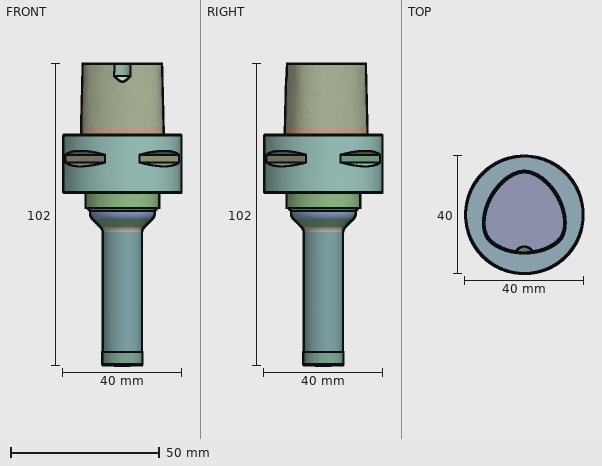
import cadquery as cq
import math

TOTAL_HEIGHT = 102.0
TAPER_BASE_Z = 80.6
FLANGE_TOP_Z = 78.0
FLANGE_BOTTOM_Z = 58.3
COLLAR_BOTTOM_Z = 53.2
NECK_TOP_Z = 52.3
NECK_BAND_HEIGHT = 0.5
SHANK_TOP_Z = 45.1
TIP_TOP_Z = 4.8

FLANGE_RADIUS = 40.0 / 2
COLLAR_RADIUS = 25.0 / 2
NECK_RADIUS = 22.0 / 2
SHANK_RADIUS = 13.4 / 2
FLANGE_CHAMFER = 0.3
COLLAR_STEP = 0.7

CONE_ANGLE = math.radians(45)
SHANK_FILLET = 2.4

TIP_RADIUS = 6.8
TIP_BEVEL_WIDTH = 0.2
TIP_BEVEL_HEIGHT = 0.5
TIP_POINT_HEIGHT = 0.2

POLYGON_DIAMETER = 27.9
POLYGON_ECCENTRICITY = 0.9
TAPER_RATIO = 1 / 20

NOTCH_RADIUS = 3.1
NOTCH_Y = -13.8
NOTCH_SHOULDER_Z = 97.8
DRILL_HALF_ANGLE = math.radians(45)

GROOVE_COUNT = 4
GROOVE_START_ANGLE = 45
GROOVE_Z = 70.0
GROOVE_DEPTH = 2.3
GROOVE_FLOOR_WIDTH = 2.5
GROOVE_FLANK_ANGLE = math.radians(30)


def lobed_curve(diameter):
    """Closed constant-width curve with three lobes, one pointing to +Y."""
    def point(t):
        angle = 2 * math.pi * t
        along = (diameter / 2 * math.cos(angle)
                 + POLYGON_ECCENTRICITY * (2 * math.cos(2 * angle) - math.cos(4 * angle)))
        across = (diameter / 2 * math.sin(angle)
                  - POLYGON_ECCENTRICITY * (2 * math.sin(2 * angle) + math.sin(4 * angle)))
        return (-across, along)
    return point


def make_taper():
    """Straight three-lobed base below a tapered three-lobed cone."""
    top_diameter = POLYGON_DIAMETER - TAPER_RATIO * (TOTAL_HEIGHT - TAPER_BASE_Z)
    base = (
        cq.Workplane("XY").workplane(offset=FLANGE_TOP_Z)
        .parametricCurve(lobed_curve(POLYGON_DIAMETER))
        .extrude(TAPER_BASE_Z - FLANGE_TOP_Z)
    )
    cone = (
        cq.Workplane("XY").workplane(offset=TAPER_BASE_Z)
        .parametricCurve(lobed_curve(POLYGON_DIAMETER))
        .workplane(offset=TOTAL_HEIGHT - TAPER_BASE_Z)
        .parametricCurve(lobed_curve(top_diameter))
        .loft(combine=True)
    )
    return base.union(cone)


def make_notch_cutter():
    """Drill shape with a conical end, standing at the -Y side of the taper."""
    point_z = NOTCH_SHOULDER_Z - NOTCH_RADIUS / math.tan(DRILL_HALF_ANGLE)
    return (
        cq.Workplane("XZ")
        .moveTo(0, point_z)
        .lineTo(NOTCH_RADIUS, NOTCH_SHOULDER_Z)
        .lineTo(NOTCH_RADIUS, TOTAL_HEIGHT)
        .lineTo(0, TOTAL_HEIGHT)
        .close()
        .revolve(360, (0, 0, 0), (0, 1, 0))
        .translate((0, NOTCH_Y, 0))
    )


def make_turned_body():
    """Flange, collar, neck and shank as one revolved outline."""
    band_bottom_z = NECK_TOP_Z - NECK_BAND_HEIGHT
    tangent_factor = math.tan(CONE_ANGLE / 2)
    cone_drop = (NECK_RADIUS - SHANK_RADIUS) / math.tan(CONE_ANGLE)
    neck_fillet = (band_bottom_z - SHANK_TOP_Z - cone_drop) / tangent_factor - SHANK_FILLET

    def upper_blend(angle):
        return (NECK_RADIUS - neck_fillet * (1 - math.cos(angle)),
                band_bottom_z - neck_fillet * math.sin(angle))

    def lower_blend(angle):
        return (SHANK_RADIUS + SHANK_FILLET * (1 - math.cos(angle)),
                SHANK_TOP_Z + SHANK_FILLET * math.sin(angle))

    return (
        cq.Workplane("XZ")
        .moveTo(0, FLANGE_TOP_Z)
        .lineTo(FLANGE_RADIUS - FLANGE_CHAMFER, FLANGE_TOP_Z)
        .lineTo(FLANGE_RADIUS, FLANGE_TOP_Z - FLANGE_CHAMFER)
        .lineTo(FLANGE_RADIUS, FLANGE_BOTTOM_Z + FLANGE_CHAMFER)
        .lineTo(FLANGE_RADIUS - FLANGE_CHAMFER, FLANGE_BOTTOM_Z)
        .lineTo(COLLAR_RADIUS, FLANGE_BOTTOM_Z)
        .lineTo(COLLAR_RADIUS, COLLAR_BOTTOM_Z)
        .lineTo(COLLAR_RADIUS - COLLAR_STEP, COLLAR_BOTTOM_Z)
        .lineTo(NECK_RADIUS, NECK_TOP_Z)
        .lineTo(NECK_RADIUS, band_bottom_z)
        .threePointArc(upper_blend(CONE_ANGLE / 2), upper_blend(CONE_ANGLE))
        .lineTo(*lower_blend(CONE_ANGLE))
        .threePointArc(lower_blend(CONE_ANGLE / 2), lower_blend(0))
        .lineTo(SHANK_RADIUS, TIP_TOP_Z)
        .lineTo(0, TIP_TOP_Z)
        .close()
        .revolve(360, (0, 0, 0), (0, 1, 0))
    )


def make_groove_cutter(angle):
    """Straight trapezoidal groove across the flange, facing the given angle."""
    floor_x = FLANGE_RADIUS - GROOVE_DEPTH
    floor_half = GROOVE_FLOOR_WIDTH / 2
    mouth_half = floor_half + GROOVE_DEPTH * math.tan(GROOVE_FLANK_ANGLE)
    return (
        cq.Workplane("XZ")
        .moveTo(floor_x, GROOVE_Z - floor_half)
        .lineTo(FLANGE_RADIUS, GROOVE_Z - mouth_half)
        .lineTo(FLANGE_RADIUS, GROOVE_Z + mouth_half)
        .lineTo(floor_x, GROOVE_Z + floor_half)
        .close()
        .extrude(FLANGE_RADIUS, both=True)
        .rotate((0, 0, 0), (0, 0, 1), angle)
    )


def make_holder():
    """Taper, flange and shank with the grooves and the orientation notch cut."""
    holder = make_turned_body().union(make_taper()).cut(make_notch_cutter())
    for index in range(GROOVE_COUNT):
        angle = GROOVE_START_ANGLE + index * 360 / GROOVE_COUNT
        holder = holder.cut(make_groove_cutter(angle))
    return holder


def make_cutting_tip():
    """Slightly wider round tip with a beveled edge and a shallow conical end."""
    return (
        cq.Workplane("XZ")
        .moveTo(0, TIP_TOP_Z)
        .lineTo(TIP_RADIUS, TIP_TOP_Z)
        .lineTo(TIP_RADIUS, TIP_POINT_HEIGHT + TIP_BEVEL_HEIGHT)
        .lineTo(TIP_RADIUS - TIP_BEVEL_WIDTH, TIP_POINT_HEIGHT)
        .lineTo(0, 0)
        .close()
        .revolve(360, (0, 0, 0), (0, 1, 0))
    )


holder = make_holder()
cutting_tip = make_cutting_tip()

result = cq.Compound.makeCompound([holder.val(), cutting_tip.val()])